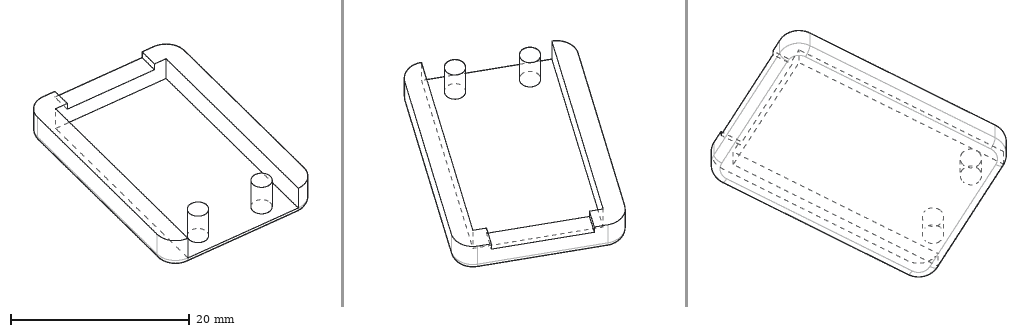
import cadquery as cq

length = 28.9
width = 19.97
body_height = 4.0
wall = 2.49
corner_radius = wall
bottom_fillet = 1.0
floor_thickness = 1.0

notch_width = 11.85
notch_depth = 0.87

pin_diameter = 2.4
pin_top = 5.0
pin_inset = 2.49
pin_spacing = 8.65
pin_pair_offset = -0.12


def block(x_start, x_end, y_size, z_start, z_end):
    """Box between two X and two Z levels, centred on Y."""
    return (
        cq.Workplane("XY", origin=((x_start + x_end) / 2, 0, z_start))
        .box(x_end - x_start, y_size, z_end - z_start, centered=(True, True, False))
    )


body = block(-length / 2, length / 2, width, 0, body_height)
body = body.edges("|Z").fillet(corner_radius)
body = body.faces("<Z").edges().fillet(bottom_fillet)

pocket_start = -length / 2 + wall
pocket_width = width - 2 * wall
pocket = block(pocket_start, length / 2, pocket_width, floor_thickness, body_height)

notch = block(-length / 2, pocket_start, notch_width, body_height - notch_depth, body_height)

pin_x = length / 2 - pin_inset
pins = (
    cq.Workplane("XY", origin=(pin_x, pin_pair_offset, 0))
    .workplane(offset=floor_thickness)
    .rarray(0.3, pin_spacing, 1, 2)
    .circle(pin_diameter / 2)
    .extrude(pin_top - floor_thickness)
)

result = body.cut(pocket).cut(notch).union(pins)